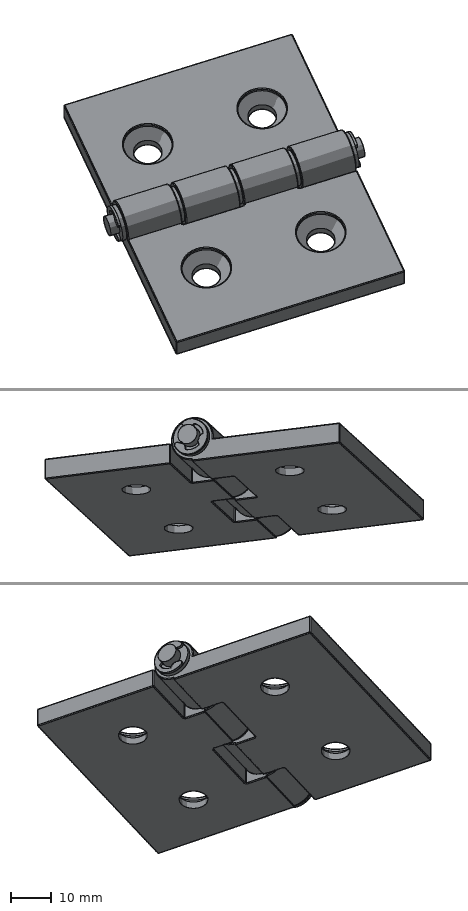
import cadquery as cq
import math

HINGE_WIDTH = 77.0
LEAF_LENGTH = 60.0
LEAF_THICKNESS = 5.2
EDGE_CHAMFER = 0.2
NOTCH_DEPTH = 5.7

HOLE_X = 20.0
HOLE_SPACING_Y = 30.0
HOLE_DIAMETER = 7.0
COUNTERSINK_DIAMETER = 11.9
COUNTERSINK_ANGLE = 90.0
COUNTERBORE_DEPTH = 0.85
HOLE_RIM_CHAMFER = 0.2

KNUCKLE_COUNT = 4
KNUCKLE_DIAMETER = 10.9
KNUCKLE_FILLET = 0.2
HINGE_HEIGHT = 11.3
AXIS_Z = HINGE_HEIGHT - KNUCKLE_DIAMETER / 2

PIN_DIAMETER = 5.0
PIN_LENGTH = 66.7
WASHER_DIAMETER = 9.1
WASHER_THICKNESS = 1.0
CLIP_DIAMETER = 9.1
CLIP_THICKNESS = 0.6
CLIP_MOUTH_WIDTH = 4.3
CLIP_TIP_X = 3.15
CLIP_TIP_RADIUS = 0.7
CLIP_POCKET_DIAMETER = 6.85
POCKET_LUG_RIM_ANGLE = 90.0
POCKET_LUG_ROOT_ANGLE = 76.0
POCKET_TAB_RIM_ANGLE = 153.0
POCKET_TAB_ROOT_ANGLE = 163.0
FRONT_CLIP_TURN = 0.0
BACK_CLIP_TURN = 20.0

KNUCKLE_LENGTH = (LEAF_LENGTH - (KNUCKLE_COUNT - 1) * WASHER_THICKNESS) / KNUCKLE_COUNT
KNUCKLE_PITCH = KNUCKLE_LENGTH + WASHER_THICKNESS
FIRST_KNUCKLE_Y = -LEAF_LENGTH / 2


def cylinder_along_y(diameter, start_y, length):
    """Solid cylinder on the hinge axis, running from start_y toward +Y."""
    plane = cq.Plane(origin=(0, start_y, AXIS_Z), xDir=(1, 0, 0), normal=(0, 1, 0))
    return cq.Workplane(plane).circle(diameter / 2).extrude(length)


def knuckle_start(index):
    """Y of the -Y end of a knuckle, counted from the -Y end of the hinge."""
    return FIRST_KNUCKLE_Y + index * KNUCKLE_PITCH


def leaf_plate(own_knuckles):
    """Plate on the +X side, notched for the other leaf's knuckles and the washers."""
    half_width = HINGE_WIDTH / 2
    on_axis = (False, True, False)
    plate = cq.Workplane("XY").box(half_width, LEAF_LENGTH, LEAF_THICKNESS, centered=on_axis)
    notched = cq.Workplane("XY").box(NOTCH_DEPTH, LEAF_LENGTH, LEAF_THICKNESS, centered=on_axis)
    for index in own_knuckles:
        kept = (
            cq.Workplane("XY", origin=(0, knuckle_start(index), 0))
            .box(NOTCH_DEPTH, KNUCKLE_LENGTH, LEAF_THICKNESS, centered=False)
        )
        notched = notched.cut(kept)
    return plate.cut(notched).edges("not <X").chamfer(EDGE_CHAMFER)


def screw_holes():
    """Cutter for the countersunk holes on the +X side."""
    rim_radius = COUNTERSINK_DIAMETER / 2
    hole_radius = HOLE_DIAMETER / 2
    cone_depth = (rim_radius - hole_radius) / math.tan(math.radians(COUNTERSINK_ANGLE / 2))
    cone_top = LEAF_THICKNESS - COUNTERBORE_DEPTH
    profile = [
        (0, 0),
        (hole_radius, 0),
        (hole_radius, cone_top - cone_depth),
        (rim_radius, cone_top),
        (rim_radius, LEAF_THICKNESS - HOLE_RIM_CHAMFER),
        (rim_radius + HOLE_RIM_CHAMFER, LEAF_THICKNESS),
        (0, LEAF_THICKNESS),
    ]
    cutter = cq.Workplane("XZ").polyline(profile).close().revolve(360, (0, 0), (0, 1))
    low = cutter.translate((HOLE_X, -HOLE_SPACING_Y / 2, 0))
    return low.union(cutter.translate((HOLE_X, HOLE_SPACING_Y / 2, 0)))


def knuckle_fillet(index):
    """Concave strip rounding the corner between a knuckle and the top of its plate."""
    strip_y = knuckle_start(index) + EDGE_CHAMFER
    strip_length = KNUCKLE_LENGTH - 2 * EDGE_CHAMFER
    center_z = LEAF_THICKNESS + KNUCKLE_FILLET
    center_x = math.sqrt((KNUCKLE_DIAMETER / 2 + KNUCKLE_FILLET) ** 2 - (AXIS_Z - center_z) ** 2)
    width = 2 * KNUCKLE_FILLET
    strip = (
        cq.Workplane("XY", origin=(center_x - width, strip_y, center_z - KNUCKLE_FILLET))
        .box(width, strip_length, KNUCKLE_FILLET, centered=False)
    )
    plane = cq.Plane(origin=(center_x, strip_y, center_z), xDir=(1, 0, 0), normal=(0, 1, 0))
    return strip.cut(cq.Workplane(plane).circle(KNUCKLE_FILLET).extrude(strip_length))


def hinge_leaf():
    """Leaf on the +X side carrying every second knuckle, starting at the -Y end."""
    own_knuckles = range(0, KNUCKLE_COUNT, 2)
    leaf = leaf_plate(own_knuckles)
    for index in own_knuckles:
        barrel = cylinder_along_y(KNUCKLE_DIAMETER, knuckle_start(index), KNUCKLE_LENGTH)
        knuckle = barrel.edges("%CIRCLE").chamfer(EDGE_CHAMFER)
        leaf = leaf.union(knuckle).union(knuckle_fillet(index))
    bore = cylinder_along_y(PIN_DIAMETER, -LEAF_LENGTH / 2, LEAF_LENGTH)
    return leaf.cut(bore).cut(screw_holes())


def washer(start_y):
    """Flat ring on the pin, starting at start_y."""
    disc = cylinder_along_y(WASHER_DIAMETER, start_y, WASHER_THICKNESS)
    return disc.cut(cylinder_along_y(PIN_DIAMETER, start_y, WASHER_THICKNESS))


def polar(radius, angle):
    """Point at a radius and an angle in degrees."""
    return (radius * math.cos(math.radians(angle)), radius * math.sin(math.radians(angle)))


def clip_pocket():
    """Relief between the upper lug and the middle tab, closed by the pin surface."""
    rim = CLIP_POCKET_DIAMETER / 2
    root = PIN_DIAMETER / 2
    rim_middle = (POCKET_LUG_RIM_ANGLE + POCKET_TAB_RIM_ANGLE) / 2
    root_middle = (POCKET_LUG_ROOT_ANGLE + POCKET_TAB_ROOT_ANGLE) / 2
    return (
        cq.Workplane("XZ")
        .moveTo(*polar(root, POCKET_LUG_ROOT_ANGLE))
        .lineTo(*polar(rim, POCKET_LUG_RIM_ANGLE))
        .threePointArc(polar(rim, rim_middle), polar(rim, POCKET_TAB_RIM_ANGLE))
        .lineTo(*polar(root, POCKET_TAB_ROOT_ANGLE))
        .threePointArc(polar(root, root_middle), polar(root, POCKET_LUG_ROOT_ANGLE))
        .close()
        .extrude(-CLIP_THICKNESS)
    )


def retaining_clip(start_y, turn):
    """E-shaped clip with its mouth toward +X, then turned about the pin."""
    ring = cq.Workplane("XZ").circle(CLIP_DIAMETER / 2).circle(PIN_DIAMETER / 2).extrude(-CLIP_THICKNESS)
    mouth = (
        cq.Workplane("XZ")
        .rect(CLIP_DIAMETER, CLIP_MOUTH_WIDTH)
        .extrude(-CLIP_THICKNESS)
        .translate((CLIP_DIAMETER / 2, 0, 0))
    )
    beyond_tips = (
        cq.Workplane("XZ")
        .rect(CLIP_DIAMETER, CLIP_DIAMETER)
        .extrude(-CLIP_THICKNESS)
        .translate((CLIP_TIP_X + CLIP_DIAMETER / 2, 0, 0))
    )
    clip = ring.cut(mouth).cut(beyond_tips)
    mouth_half = CLIP_MOUTH_WIDTH / 2
    for tip_z in (-mouth_half, mouth_half):
        tip_corner = cq.selectors.NearestToPointSelector((CLIP_TIP_X, CLIP_THICKNESS / 2, tip_z))
        clip = clip.edges("|Y").edges(tip_corner).fillet(CLIP_TIP_RADIUS)
    pocket = clip_pocket()
    clip = clip.cut(pocket).cut(pocket.mirror("XY"))
    return clip.rotate((0, 0, 0), (0, 1, 0), -turn).translate((0, start_y, AXIS_Z))


right_leaf = hinge_leaf()
left_leaf = right_leaf.rotate((0, 0, 0), (0, 0, 1), 180)

pin = cylinder_along_y(PIN_DIAMETER, -PIN_LENGTH / 2, PIN_LENGTH)

washers = [washer(knuckle_start(i) - WASHER_THICKNESS) for i in range(KNUCKLE_COUNT + 1)]

clip_inner_y = LEAF_LENGTH / 2 + WASHER_THICKNESS
clips = [
    retaining_clip(-clip_inner_y - CLIP_THICKNESS, FRONT_CLIP_TURN),
    retaining_clip(clip_inner_y, BACK_CLIP_TURN),
]

bodies = [right_leaf, left_leaf, pin, *washers, *clips]
result = cq.Compound.makeCompound([body.solids().val() for body in bodies])